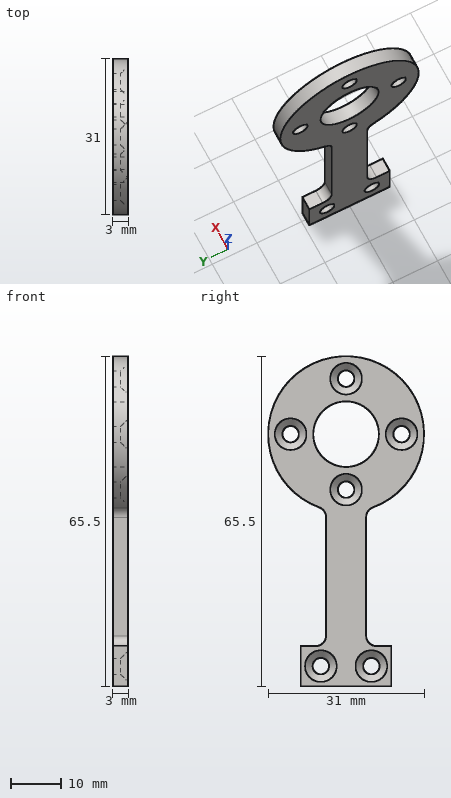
import cadquery as cq

height = 65.5
thickness = 3.0
ring_diameter = 31.0
bore_diameter = 13.0
screw_diameter = 3.2
countersink_diameter = 6.3
countersink_angle = 90.0
ring_screw_circle = 22.0
ring_screw_count = 4
arm_width = 8.0
foot_width = 18.0
foot_height = 8.0
foot_screw_spacing = 10.0
corner_radius = 2.0

foot_bottom = ring_diameter / 2 - height
foot_middle = foot_bottom + foot_height / 2
foot_top = foot_bottom + foot_height


def plate(width, bottom, top):
    """Rectangular plate centred on Y, between two heights."""
    return (
        cq.Workplane("YZ")
        .center(0, (bottom + top) / 2)
        .rect(width, top - bottom)
        .extrude(thickness / 2, both=True)
    )


def disk(diameter):
    """Disk of plate thickness around the ring centre."""
    return cq.Workplane("YZ").circle(diameter / 2).extrude(thickness / 2, both=True)


def inner_corners(body, bottom, top):
    """Edges along X on both sides of the arm, between two heights."""
    margin = 0.05
    side = arm_width / 2 + margin
    selector = cq.selectors.BoxSelector((-thickness, -side, bottom), (thickness, side, top))
    return body.edges("|X").edges(selector)


ring = disk(ring_diameter)
arm = plate(arm_width, foot_top, 0)
foot = plate(foot_width, foot_bottom, foot_top)
body = ring.union(arm).union(foot)

body = inner_corners(body, foot_bottom, 0).fillet(corner_radius)

body = body.cut(disk(bore_diameter))

front_face = cq.Workplane("YZ", origin=(thickness / 2, 0, 0))
body = (
    body.copyWorkplane(front_face)
    .polarArray(ring_screw_circle / 2, 0, 360, ring_screw_count)
    .cskHole(screw_diameter, countersink_diameter, countersink_angle)
)

foot_screw_points = [(side * foot_screw_spacing / 2, foot_middle) for side in (-1, 1)]
result = (
    body.copyWorkplane(front_face)
    .pushPoints(foot_screw_points)
    .cskHole(screw_diameter, countersink_diameter, countersink_angle)
)